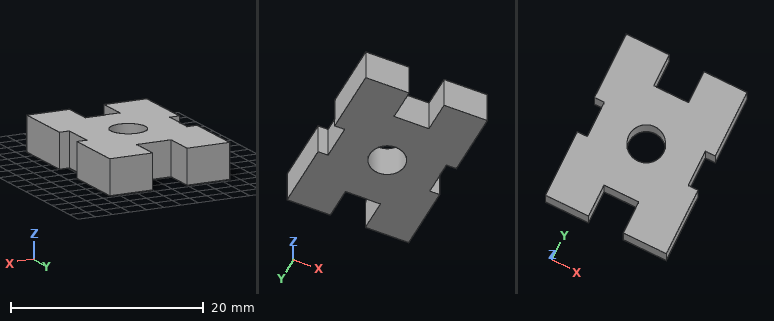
import cadquery as cq

width = 14.0
length = 19.0
thickness = 4.0
slot_width = 4.0
hole_diameter = 4.0
core_size = 11.7

side_slot_depth = (width - core_size) / 2
end_slot_depth = (length - core_size) / 2


def cut_opposite_slots(body, size_x, size_y, offset_x, offset_y):
    """Cut a pair of through slots placed symmetrically about the centre."""
    slots = (
        cq.Workplane("XY")
        .pushPoints([(offset_x, offset_y), (-offset_x, -offset_y)])
        .rect(size_x, size_y)
        .extrude(thickness)
    )
    return body.cut(slots)


plate = cq.Workplane("XY").rect(width, length).extrude(thickness)
plate = plate.faces(">Z").workplane().hole(hole_diameter)

plate = cut_opposite_slots(plate, side_slot_depth, slot_width, (width - side_slot_depth) / 2, 0)
plate = cut_opposite_slots(plate, slot_width, end_slot_depth, 0, (length - end_slot_depth) / 2)

result = plate